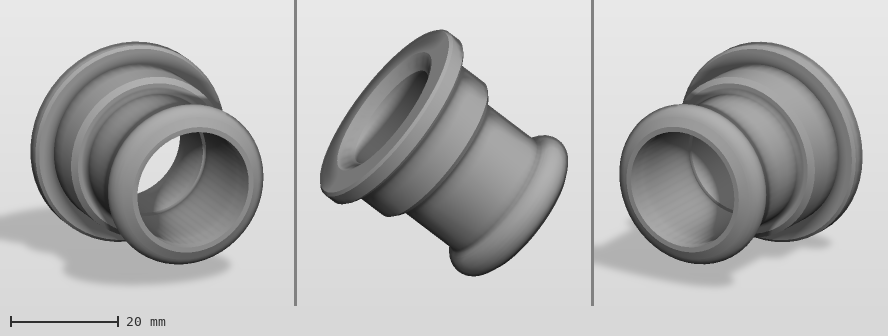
import cadquery as cq
import math

length = 34.0

flange_radius = 38 / 2
flange_width = 3.55
flange_chamfer = 0.55

collar_radius = 31.0 / 2
collar_end = 13.0
collar_chamfer = 1.0

tube_radius = 25.3 / 2
collar_fillet = 0.8
bead_fillet = 0.7

bead_center = 30.32
bead_radius = 15.35
bead_arc_radius = 3.15
flank_angle = math.radians(60)

countersink_radius = 26.98 / 2
throat_radius = 21.0 / 2
countersink_angle = math.radians(60)
socket_radius = 22.3 / 2
socket_start = collar_end


def ring(start, end, radius):
    """Solid cylinder on the X axis between two axial positions."""
    return cq.Workplane("YZ").workplane(offset=start).circle(radius).extrude(end - start)


def revolve_about_x(profile):
    """Revolve a closed XY profile about the X axis."""
    return profile.close().revolve(360, (0, 0, 0), (1, 0, 0))


def make_flange():
    return ring(0, flange_width, flange_radius).edges().chamfer(flange_chamfer)


def make_collar():
    return ring(0, collar_end, collar_radius).edges(">X").chamfer(collar_chamfer)


def make_tube_and_bead():
    arc_half_width = bead_arc_radius * math.sin(flank_angle)
    arc_base = bead_radius - bead_arc_radius * (1 - math.cos(flank_angle))
    flank_slope = math.tan(flank_angle)
    arc_start = bead_center - arc_half_width
    arc_end = bead_center + arc_half_width
    rim_radius = arc_base - (length - arc_end) * flank_slope

    corner = arc_start - (arc_base - tube_radius) / flank_slope
    tangent_length = bead_fillet * math.tan(flank_angle / 2)
    fillet_start = corner - tangent_length
    fillet_end = corner + tangent_length * math.cos(flank_angle)
    fillet_top = tube_radius + tangent_length * math.sin(flank_angle)
    fillet_middle = (
        fillet_start + bead_fillet * math.sin(flank_angle / 2),
        tube_radius + bead_fillet * (1 - math.cos(flank_angle / 2)),
    )

    fillet_inset = collar_fillet * (1 - math.sqrt(0.5))
    collar_fillet_middle = (collar_end + fillet_inset, tube_radius + fillet_inset)

    profile = (
        cq.Workplane("XY")
        .moveTo(collar_end, 0)
        .lineTo(collar_end, tube_radius + collar_fillet)
        .threePointArc(collar_fillet_middle, (collar_end + collar_fillet, tube_radius))
        .lineTo(fillet_start, tube_radius)
        .threePointArc(fillet_middle, (fillet_end, fillet_top))
        .lineTo(arc_start, arc_base)
        .threePointArc((bead_center, bead_radius), (arc_end, arc_base))
        .lineTo(length, rim_radius)
        .lineTo(length, 0)
    )
    return revolve_about_x(profile)


def make_bore():
    countersink_depth = (countersink_radius - throat_radius) / math.tan(countersink_angle)
    profile = (
        cq.Workplane("XY")
        .lineTo(0, countersink_radius)
        .lineTo(countersink_depth, throat_radius)
        .lineTo(socket_start, throat_radius)
        .lineTo(socket_start, socket_radius)
        .lineTo(length, socket_radius)
        .lineTo(length, 0)
    )
    return revolve_about_x(profile)


body = make_flange().union(make_collar()).union(make_tube_and_bead())
result = body.cut(make_bore())